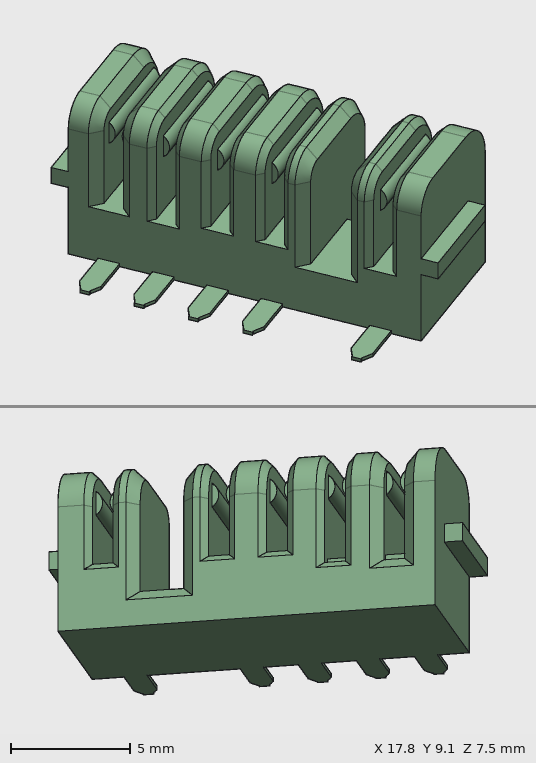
import cadquery as cq

total_length = 17.8
rail_width = 0.78
body_length = total_length - 2 * rail_width
body_depth = 6.6
body_height = 7.5
front_radius = 1.2
rear_radius = 2.0

rail_depth = 4.82
rail_bottom = 3.35
rail_height = 0.8

first_slot_x = 2.65
last_slot_x = total_length - first_slot_x
slot_count = 6
stepped_slot_count = 2
key_index = slot_count - 2
pitch = (last_slot_x - first_slot_x) / (slot_count - 1)
narrow_width = 0.89
key_width = 1.87
small_chamfer = 0.3
large_chamfer = 0.5
low_floor = 2.63
high_floor = 2.95
key_floor = 2.15

rear_step_length = 0.82
rear_step_drop = high_floor - low_floor
key_ramp_front = 4.24
key_ramp_size = 0.48
key_rear_floor = key_floor - key_ramp_size

bead_radius = 0.62
bead_protrusion = 0.28
bead_z = 5.87
bead_front = 1.01
bead_length = 4.61

pin_length = 2.5
pin_width = 1.0
pin_thickness = 0.16
pin_tip_width = 0.45
pin_taper_length = 0.48
pin_tip_length = 0.1
pin_root = 0.35


def box(x, y, z, length, depth, height):
    """Box from its lowest corner."""
    return cq.Workplane("XY").box(length, depth, height, centered=False).translate((x, y, z))


def make_body():
    """Unslotted block; one bar through it leaves a rail on each end, flush with the front face."""
    body = box(rail_width, 0, 0, body_length, body_depth, body_height)
    body = body.edges("|X and >Z and <Y").fillet(front_radius)
    body = body.edges("|X and >Z and >Y").fillet(rear_radius)
    return body.union(box(0, 0, rail_bottom, total_length, rail_depth, rail_height))


def floor_outline(floor, has_rear_step):
    """Side outline of an ordinary slot, with an optional lowered rear end."""
    outline = cq.Workplane("YZ").moveTo(0, body_height).lineTo(0, floor)
    if has_rear_step:
        step_y = body_depth - rear_step_length
        outline = outline.lineTo(step_y, floor).lineTo(step_y, floor - rear_step_drop)
        floor -= rear_step_drop
    return outline.lineTo(body_depth, floor).lineTo(body_depth, body_height).close()


def key_outline():
    """Side outline of the keying slot, whose floor ramps down at 45 degrees."""
    return (
        cq.Workplane("YZ")
        .moveTo(0, body_height)
        .lineTo(0, key_floor)
        .lineTo(key_ramp_front, key_floor)
        .lineTo(key_ramp_front + key_ramp_size, key_rear_floor)
        .lineTo(body_depth, key_rear_floor)
        .lineTo(body_depth, body_height)
        .close()
    )


def cut_slot(body, center_x, width, floor, chamfer, outline):
    """Cut a slot and bevel its mouth at the front, top and rear, but not its front floor edge."""
    left_x = center_x - width / 2
    body = body.cut(outline.extrude(width).translate((left_x, 0, 0)))

    def on_mouth(edge):
        middle = edge.Center()
        at_slot = abs(middle.x - center_x) < width / 2 + chamfer / 2
        at_rear = middle.y > body_depth - chamfer / 2
        return at_slot and (at_rear or middle.z > floor + chamfer / 2)

    return body.edges().filter(on_mouth).chamfer(chamfer)


def make_bead(center_x, side):
    """Contact bead on one slot wall; side is -1 for the left wall and 1 for the right."""
    bead_x = center_x + side * (narrow_width / 2 + bead_radius - bead_protrusion)
    bead = cq.Workplane("XZ").circle(bead_radius).extrude(-bead_length)
    return bead.translate((bead_x, bead_front, bead_z))


def make_pin(center_x):
    taper_end = pin_tip_length - pin_length
    shoulder = taper_end + pin_taper_length
    half_outline = [
        (pin_width / 2, pin_root),
        (pin_width / 2, shoulder),
        (pin_tip_width / 2, taper_end),
        (pin_tip_width / 2, -pin_length),
    ]
    mirrored = [(-x, y) for x, y in reversed(half_outline)]
    pin = cq.Workplane("XY").polyline(half_outline + mirrored).close().extrude(pin_thickness)
    return pin.translate((center_x, 0, 0))


result = make_body()
slot_centers = [first_slot_x + index * pitch for index in range(slot_count)]
contact_centers = [x for index, x in enumerate(slot_centers) if index != key_index]

for index, center_x in enumerate(slot_centers):
    if index == key_index:
        result = cut_slot(result, center_x, key_width, key_floor, large_chamfer, key_outline())
    else:
        is_stepped = index < stepped_slot_count
        floor = low_floor if is_stepped else high_floor
        chamfer = large_chamfer if index == 0 else small_chamfer
        outline = floor_outline(floor, is_stepped)
        result = cut_slot(result, center_x, narrow_width, floor, chamfer, outline)

for center_x in contact_centers:
    result = result.union(make_bead(center_x, -1)).union(make_bead(center_x, 1))
    result = result.union(make_pin(center_x))